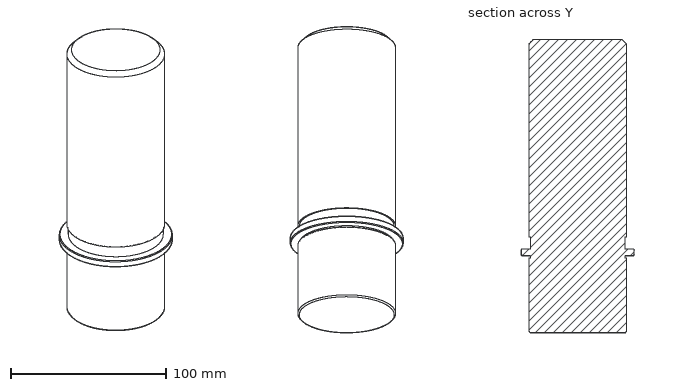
import cadquery as cq

total_height = 189.0
body_diameter = 63.1
flange_diameter = 73.0
neck_diameter = 61.2

flange_bottom = 49.5
flange_thickness = 4.5
lower_neck_height = 1.3
upper_neck_height = 7.5

top_chamfer = 3.0
bottom_chamfer = 1.0
flange_chamfer = 0.5

flange_top = flange_bottom + flange_thickness
lower_body_top = flange_bottom - lower_neck_height
upper_body_bottom = flange_top + upper_neck_height


def cylinder(diameter, bottom, top):
    """Solid cylinder on the Z axis between two heights."""
    return cq.Workplane("XY").workplane(offset=bottom).circle(diameter / 2).extrude(top - bottom)


lower_body = cylinder(body_diameter, 0, lower_body_top).faces("<Z").chamfer(bottom_chamfer)

neck = cylinder(neck_diameter, lower_body_top, upper_body_bottom)

flange = cylinder(flange_diameter, flange_bottom, flange_top).faces("<Z or >Z").chamfer(flange_chamfer)

upper_body = cylinder(body_diameter, upper_body_bottom, total_height).faces(">Z").chamfer(top_chamfer)

result = lower_body.union(neck).union(flange).union(upper_body)